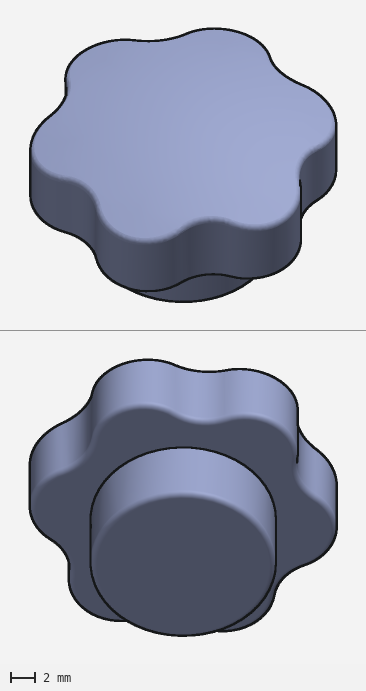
import cadquery as cq
import math

LOBE_COUNT = 6
HEAD_RADIUS = 12.5
LOBE_RADIUS = 4.27
VALLEY_RADIUS = 4.0
TOTAL_HEIGHT = 14.0
HUB_DIAMETER = 15.0
HUB_HEIGHT = 6.0
DOME_RADIUS = 40.0
EDGE_FILLET = 0.5

HALF_PITCH = 180 / LOBE_COUNT
LOBE_CENTER_RADIUS = HEAD_RADIUS - LOBE_RADIUS
LOBE_HALF_SPACING = LOBE_CENTER_RADIUS * math.sin(math.radians(HALF_PITCH))
VALLEY_CENTER_RADIUS = LOBE_CENTER_RADIUS * math.cos(math.radians(HALF_PITCH)) + math.sqrt(
    (LOBE_RADIUS + VALLEY_RADIUS) ** 2 - LOBE_HALF_SPACING**2
)
VALLEY_DEPTH_RADIUS = VALLEY_CENTER_RADIUS - VALLEY_RADIUS
JOINT_SHARE = LOBE_RADIUS / (LOBE_RADIUS + VALLEY_RADIUS)


def polar(radius, degrees):
    """XY point at a radius and angle about the knob axis."""
    angle = math.radians(degrees)
    return (radius * math.cos(angle), radius * math.sin(angle))


def joint(lobe_angle, side):
    """Tangent point of a lobe with the valley on its +1 or -1 side."""
    lobe_x, lobe_y = polar(LOBE_CENTER_RADIUS, lobe_angle)
    valley_x, valley_y = polar(VALLEY_CENTER_RADIUS, lobe_angle + side * HALF_PITCH)
    return (
        lobe_x + JOINT_SHARE * (valley_x - lobe_x),
        lobe_y + JOINT_SHARE * (valley_y - lobe_y),
    )


def head_outline():
    """Closed wave of convex lobes and concave valleys, one lobe on the X axis."""
    outline = cq.Workplane("XY", origin=(0, 0, HUB_HEIGHT)).moveTo(*joint(0, -1))
    for index in range(LOBE_COUNT):
        angle = index * 2 * HALF_PITCH
        next_angle = angle + 2 * HALF_PITCH
        outline = outline.threePointArc(polar(HEAD_RADIUS, angle), joint(angle, 1))
        outline = outline.threePointArc(
            polar(VALLEY_DEPTH_RADIUS, angle + HALF_PITCH), joint(next_angle, -1)
        )
    return outline.close()


def make_head():
    """Lobed grip, crowned by a sphere and rounded along its top and bottom edges."""
    prism = head_outline().extrude(TOTAL_HEIGHT - HUB_HEIGHT)
    crown = cq.Workplane("XY").sphere(DOME_RADIUS).translate((0, 0, TOTAL_HEIGHT - DOME_RADIUS))
    head = prism.intersect(crown)
    return head.edges("not |Z").fillet(EDGE_FILLET)


def make_hub():
    """Plain round hub with a rounded lower edge."""
    hub = cq.Workplane("XY").circle(HUB_DIAMETER / 2).extrude(HUB_HEIGHT)
    return hub.faces("<Z").edges().fillet(EDGE_FILLET)


result = make_head().union(make_hub())